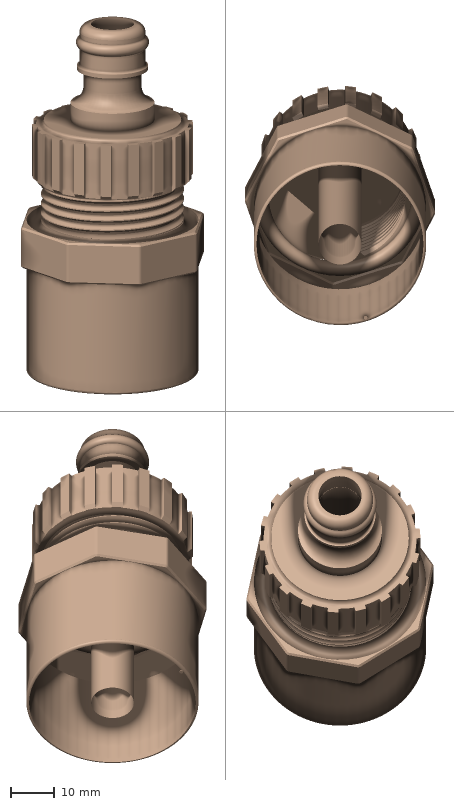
import cadquery as cq
import math

bore_diameter = 9.9
total_height = 84.1

thread_diameter = 33.2
thread_root_diameter = 30.3
thread_length = 20.8
thread_turns = 9
thread_crest_width = 0.25
thread_flank_angle = 27.5
thread_start_z = 34.65
thread_bite = 0.2

socket_diameter = 40.0
socket_bottom_z = 0.2
socket_edge_fillet = 0.7
nub_diameter = 0.8
nub_y = -18.9
grip_sides = 8
grip_across_flats = 41.0
grip_bottom_z = 26.9
grip_top_z = 36.75
grip_corner_fillet = 1.0
grip_edge_chamfer = 0.4
groove_radius = 1.7
spigot_top_z = 57.5

cap_diameter = 35.5
cap_bottom_z = 46.85
cap_top_z = 60.05
rib_count = 18
rib_outer_diameter = 37.3
rib_width = 2.5
rib_root_depth = 0.7
rib_first_angle = -4.0
rib_chamfer = 0.8
boss_diameter = 32.0
boss_top_z = 61.0

collar_diameter = 19.5
collar_top_z = 65.2
neck_diameter = 13.5
neck_bottom_z = 69.1
flange_diameter = 16.6
flange_bottom_z = 73.25
flange_top_z = 74.2
nose_diameter = 15.3
tip_diameter = 11.4
tip_round_height = 1.8
entry_diameter = 10.0
entry_bottom_z = 78.2

ring_outer_diameter = 17.0
ring_section_diameter = 2.9
ring_groove_width = 3.0
ring_z = 79.7


def cylinder(diameter, bottom_z, top_z):
    return cq.Workplane("XY").workplane(offset=bottom_z).circle(diameter / 2).extrude(top_z - bottom_z)


def revolve(profile):
    """Turn a closed radius-height profile about the Z axis."""
    return profile.close().revolve(360, (0, 0, 0), (0, 1, 0))


def make_torus(centre_radius, section_radius, z):
    section = cq.Workplane("XZ").center(centre_radius, z).circle(section_radius)
    return section.revolve(360, (-centre_radius, 0, 0), (-centre_radius, 1, 0))


def make_threaded_spigot():
    """Core with a helical V ridge whose base sinks slightly below the thread root."""
    root_radius = thread_root_diameter / 2
    base_radius = root_radius - thread_bite
    crest_radius = thread_diameter / 2
    half_crest = thread_crest_width / 2
    half_base = half_crest + (crest_radius - base_radius) * math.tan(math.radians(thread_flank_angle))
    path = cq.Wire.makeHelix(thread_length / thread_turns, thread_length, root_radius)
    section = cq.Workplane("XZ").polyline(
        [
            (base_radius, -half_base),
            (crest_radius, -half_crest),
            (crest_radius, half_crest),
            (base_radius, half_base),
        ]
    ).close()
    ridge = section.sweep(cq.Workplane(path), isFrenet=True).translate((0, 0, thread_start_z))
    return cylinder(thread_root_diameter, grip_bottom_z, spigot_top_z).union(ridge)


def make_socket():
    body = cylinder(socket_diameter, socket_bottom_z, grip_bottom_z)
    body = body.faces("<Z").edges().fillet(socket_edge_fillet)
    nub = cylinder(nub_diameter, 0, grip_bottom_z).translate((0, nub_y, 0))
    return body.union(nub)


def make_grip():
    """Octagonal grip with a round-bottomed groove sunk around the thread."""
    grip = (
        cq.Workplane("XY")
        .workplane(offset=grip_bottom_z)
        .polygon(grip_sides, grip_across_flats, circumscribed=True)
        .extrude(grip_top_z - grip_bottom_z)
        .edges("|Z")
        .fillet(grip_corner_fillet)
        .faces("<Z or >Z")
        .chamfer(grip_edge_chamfer)
    )
    groove_centre_radius = thread_diameter / 2 + groove_radius
    return grip.cut(make_torus(groove_centre_radius, groove_radius, grip_top_z))


def make_adapter(threaded_spigot):
    bore = cylinder(bore_diameter, 0, spigot_top_z)
    return make_socket().union(make_grip()).union(threaded_spigot).cut(bore)


def make_cap_shell():
    """Solid cap with a raised boss that flares into its top face."""
    cap_radius = cap_diameter / 2
    boss_radius = boss_diameter / 2
    boss_fillet = boss_top_z - cap_top_z
    arc_offset = boss_fillet * (1 - math.sqrt(0.5))
    return revolve(
        cq.Workplane("XZ")
        .moveTo(0, cap_bottom_z)
        .lineTo(cap_radius, cap_bottom_z)
        .lineTo(cap_radius, cap_top_z)
        .lineTo(boss_radius + boss_fillet, cap_top_z)
        .threePointArc((boss_radius + arc_offset, cap_top_z + arc_offset), (boss_radius, boss_top_z))
        .lineTo(0, boss_top_z)
    )


def make_rib(angle):
    """Vertical grip rib, chamfered at its lower end and rooted in the cap wall."""
    outer_radius = rib_outer_diameter / 2
    inner_radius = cap_diameter / 2 - rib_root_depth
    rib = (
        cq.Workplane("XZ")
        .moveTo(inner_radius, cap_bottom_z)
        .lineTo(outer_radius - rib_chamfer, cap_bottom_z)
        .lineTo(outer_radius, cap_bottom_z + rib_chamfer)
        .lineTo(outer_radius, cap_top_z)
        .lineTo(inner_radius, cap_top_z)
        .close()
        .extrude(rib_width / 2, both=True)
    )
    return rib.rotate((0, 0, 0), (0, 0, 1), angle)


def make_nozzle():
    """Solid nozzle: collar, waisted neck, flange and rounded tip."""
    collar_radius = collar_diameter / 2
    neck_radius = neck_diameter / 2
    flange_radius = flange_diameter / 2
    nose_radius = nose_diameter / 2
    tip_radius = tip_diameter / 2
    neck_fillet = neck_bottom_z - collar_top_z
    flange_fillet = flange_radius - nose_radius
    shoulder_z = total_height - tip_round_height
    return revolve(
        cq.Workplane("XZ")
        .moveTo(0, spigot_top_z)
        .lineTo(collar_radius, spigot_top_z)
        .lineTo(collar_radius, collar_top_z)
        .radiusArc((neck_radius, neck_bottom_z), neck_fillet)
        .lineTo(neck_radius, flange_bottom_z)
        .lineTo(flange_radius, flange_bottom_z)
        .lineTo(flange_radius, flange_top_z)
        .radiusArc((nose_radius, flange_top_z + flange_fillet), flange_fillet)
        .lineTo(nose_radius, shoulder_z)
        .radiusArc((tip_radius, total_height), -(nose_radius - tip_radius))
        .lineTo(0, total_height)
    )


def make_o_ring():
    centre_radius = (ring_outer_diameter - ring_section_diameter) / 2
    return make_torus(centre_radius, ring_section_diameter / 2, ring_z)


def make_ring_groove():
    """Square-cornered groove whose floor touches the inside of the O-ring."""
    bottom_z = ring_z - ring_groove_width / 2
    top_z = ring_z + ring_groove_width / 2
    floor_diameter = ring_outer_diameter - 2 * ring_section_diameter
    return cylinder(ring_outer_diameter, bottom_z, top_z).cut(cylinder(floor_diameter, bottom_z, top_z))


def make_connector(threaded_spigot):
    """Cap and nozzle in one piece, with a matching female thread for the spigot."""
    connector = make_cap_shell()
    for index in range(rib_count):
        connector = connector.union(make_rib(rib_first_angle + index * 360 / rib_count))
    connector = connector.union(make_nozzle())
    connector = connector.cut(threaded_spigot)
    connector = connector.cut(cylinder(bore_diameter, spigot_top_z, total_height))
    connector = connector.cut(cylinder(entry_diameter, entry_bottom_z, total_height))
    return connector.cut(make_ring_groove())


threaded_spigot = make_threaded_spigot()
o_ring = make_o_ring()
adapter = make_adapter(threaded_spigot)
connector = make_connector(threaded_spigot)

result = cq.Compound.makeCompound([adapter.val(), connector.val(), o_ring.val()])